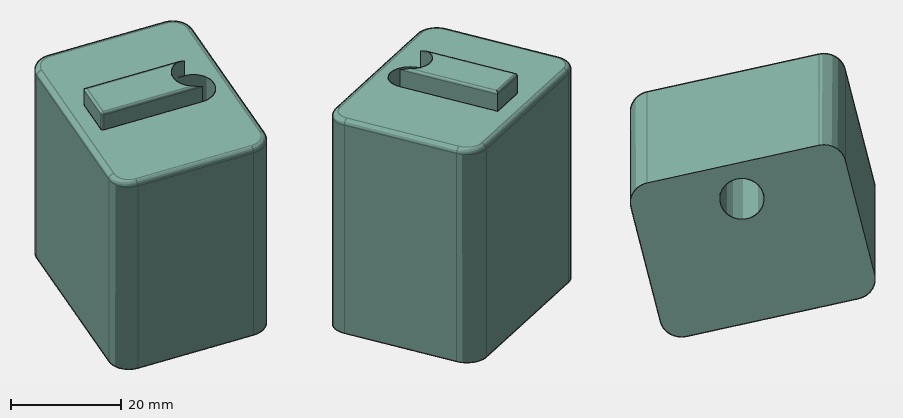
import cadquery as cq

length = 40.0
width = 31.0
total_height = 48.0
tab_height = 4.0
body_height = total_height - tab_height
corner_radius = 4.0
top_edge_radius = 1.0

hole_diameter = 8.0
hole_y = 8.5
tab_width = hole_diameter
tab_length = 20.0
tab_edge_radius = 0.5


def make_body():
    """Block with rounded vertical corners and a rounded top rim."""
    block = cq.Workplane("XY").box(length, width, body_height, centered=(True, True, False))
    return block.edges("|Z").fillet(corner_radius).faces(">Z").edges().fillet(top_edge_radius)


def make_tab():
    """Raised bar with rounded top edges and one rounded upright corner; the hole cuts its back end."""
    tab = (
        cq.Workplane("XY", origin=(0, hole_y - tab_length / 2, 0))
        .box(tab_width, tab_length, total_height, centered=(True, True, False))
    )
    top_edges = tab.faces(">Z").edges("<X or >X or <Y")
    upright_corner = tab.faces(">X").edges("|Z and <Y")
    return top_edges.add(upright_corner).fillet(tab_edge_radius)


def make_hole():
    """Vertical cylinder through the full height."""
    return cq.Workplane("XY").center(0, hole_y).circle(hole_diameter / 2).extrude(total_height)


result = make_body().union(make_tab()).cut(make_hole())